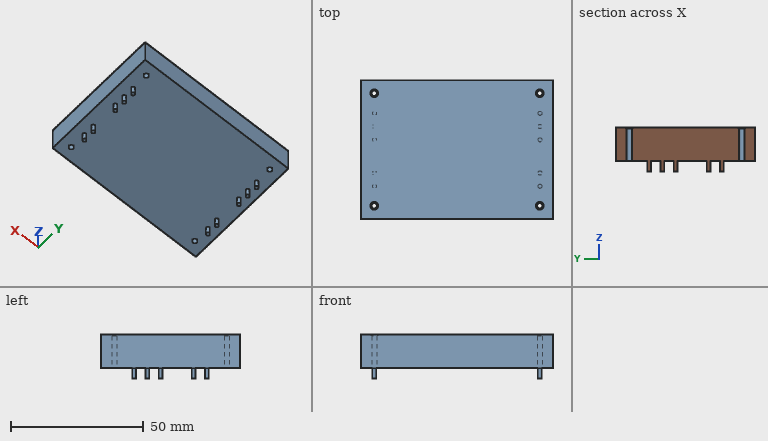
import cadquery as cq

case_length = 72.5
case_width = 52.5
total_height = 16.7
pin_length = 4.0
case_height = total_height - pin_length

edge_inset = 5.0
hole_diameter = 2.0
countersink_diameter = 3.0
countersink_angle = 90.0

pin_diameter = 1.5
pin_pitch = 5.0
outer_pin_y = 13.8
back_pin_count = 3
front_pin_count = 2

hole_spacing_x = case_length - 2 * edge_inset
hole_spacing_y = case_width - 2 * edge_inset


def make_case():
    """Block with four countersunk mounting holes."""
    block = cq.Workplane("XY").box(case_length, case_width, case_height, centered=(True, True, False))
    return (
        block.faces(">Z")
        .workplane()
        .rect(hole_spacing_x, hole_spacing_y, forConstruction=True)
        .vertices()
        .cskHole(hole_diameter, countersink_diameter, countersink_angle)
    )


def make_pins():
    """Two rows of round pins hanging from the underside, each split into a +Y and a -Y group."""
    back_group = [outer_pin_y - i * pin_pitch for i in range(back_pin_count)]
    front_group = [-outer_pin_y + i * pin_pitch for i in range(front_pin_count)]
    row_x = hole_spacing_x / 2
    centers = [(x, y) for x in (-row_x, row_x) for y in back_group + front_group]
    return cq.Workplane("XY").pushPoints(centers).circle(pin_diameter / 2).extrude(-pin_length)


result = make_case().union(make_pins())